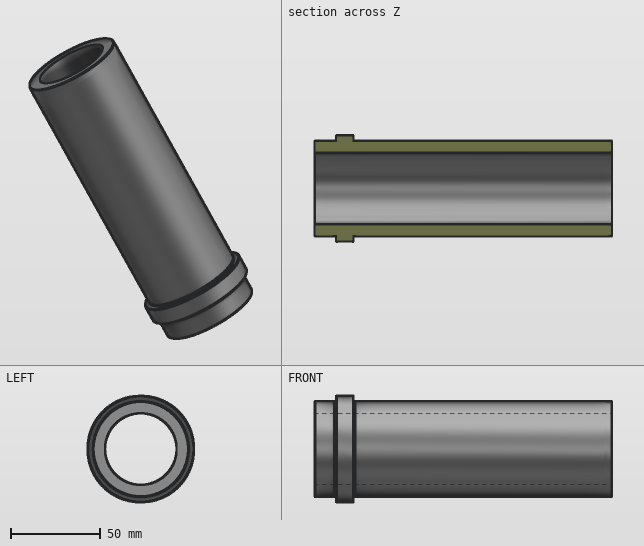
import cadquery as cq

length = 167.0
bore_diameter = 40.0
bore_chamfer = 0.2
body_diameter = 54.0
front_chamfer = 0.5

collar_diameter = 60.0
collar_start = 12.0
collar_width = 10.0
collar_chamfer = 0.5

groove_width = 1.0
groove_depth = 0.2

lead_in_length = 4.0
lead_in_drop = 0.1
rear_chamfer = 0.4

body_radius = body_diameter / 2
collar_radius = collar_diameter / 2
bore_radius = bore_diameter / 2
groove_radius = body_radius - groove_depth
collar_end = collar_start + collar_width
lead_in_start = length - lead_in_length
rear_radius = body_radius - lead_in_drop


def front_points():
    """Outer profile from the front face up to the first relief groove."""
    return [
        (0, body_radius - front_chamfer),
        (front_chamfer, body_radius),
        (collar_start - groove_width, body_radius),
    ]


def collar_points():
    """Collar with both rims chamfered, flanked by the two relief grooves."""
    rim_radius = collar_radius - collar_chamfer
    return [
        (collar_start - groove_width, groove_radius),
        (collar_start, groove_radius),
        (collar_start, rim_radius),
        (collar_start + collar_chamfer, collar_radius),
        (collar_end - collar_chamfer, collar_radius),
        (collar_end, rim_radius),
        (collar_end, groove_radius),
        (collar_end + groove_width, groove_radius),
    ]


def rear_points():
    """Long body, then the tapered lead-in and the chamfer at the rear face."""
    return [
        (collar_end + groove_width, body_radius),
        (lead_in_start, body_radius),
        (length - rear_chamfer, rear_radius),
        (length, rear_radius - rear_chamfer),
    ]


def bore_points():
    """Through bore from the rear face back to its chamfered front mouth."""
    return [
        (length, bore_radius),
        (bore_chamfer, bore_radius),
        (0, bore_radius + bore_chamfer),
    ]


wall_section = front_points() + collar_points() + rear_points() + bore_points()
result = cq.Workplane("XY").polyline(wall_section).close().revolve(360, (0, 0, 0), (1, 0, 0))